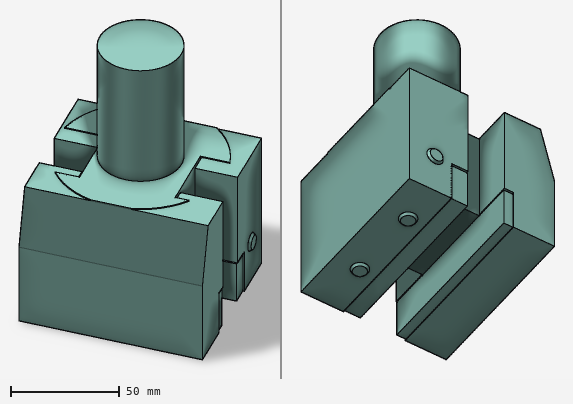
import cadquery as cq

overall_height = 136.3
overall_width = 92.5

head_width = 90.0
head_depth = 80.5
head_height = 71.3
head_center_x = 2.6
shank_to_back = 32.6
back_y = shank_to_back
front_y = back_y - head_depth
slope_inset = 7.8
slope_start_z = 42.1

shank_radius = 20.0
seat_radius = 41.5
seat_height = 0.5
seat_top_z = head_height + seat_height

neck_width = 46.9
slot_width = 20.2
slot_back_y = 0.0
slot_front_y = slot_back_y - slot_width

channel_height = 22.4
channel_back_y = 9.0
channel_front_y = -25.2
strip_bottom_z = 0.4
strip_top_gap = 0.7
strip_end_inset = 0.5
slit_width = 0.7

stud_radius = 4.5
stud_tip_radius = 3.5
stud_y = back_y - 14.3
side_stud_z = 22.0
side_stud_length = (overall_width - head_width) / 2
bottom_stud_length = 1.4
bottom_stud_spacing = 40.1

shank_top_z = overall_height - bottom_stud_length


def block(x_range, y_range, z_range):
    """Box spanning the given ranges."""
    x0, x1 = x_range
    y0, y1 = y_range
    z0, z1 = z_range
    return cq.Workplane("XY").box(x1 - x0, y1 - y0, z1 - z0, centered=False).translate((x0, y0, z0))


def stud(base, direction, length):
    """Tapered stud end standing on a face of the head."""
    cone = cq.Solid.makeCone(stud_radius, stud_tip_radius, length, cq.Vector(*base), cq.Vector(*direction))
    return cq.Workplane(obj=cone)


def side_ranges(near, far):
    """X ranges of a feature on the left and right of the head's middle plane."""
    return (
        (head_center_x - far, head_center_x - near),
        (head_center_x + near, head_center_x + far),
    )


half_width = head_width / 2
half_neck = neck_width / 2
head_x = (head_center_x - half_width, head_center_x + half_width)
channel_y = (channel_front_y, channel_back_y)
slot_y = (slot_front_y, slot_back_y)

result = (
    cq.Workplane("YZ", origin=(head_x[0], 0, 0))
    .moveTo(front_y, 0)
    .lineTo(back_y, 0)
    .lineTo(back_y, head_height)
    .lineTo(front_y + slope_inset, head_height)
    .lineTo(front_y, slope_start_z)
    .close()
    .extrude(head_width)
)

seat = cq.Workplane("XY", origin=(0, 0, head_height)).circle(seat_radius).extrude(seat_height)
seat = seat.intersect(block(head_x, (front_y + slope_inset, back_y), (head_height, seat_top_z)))
for notch_x in side_ranges(half_neck, half_width):
    seat = seat.cut(block(notch_x, channel_y, (head_height, seat_top_z)))
result = result.union(seat)

result = result.cut(block(head_x, channel_y, (0, channel_height)))

for slot_x in side_ranges(half_neck, half_width):
    result = result.cut(block(slot_x, slot_y, (0, head_height)))
for slit_x in side_ranges(half_neck, half_neck + slit_width):
    result = result.cut(block(slit_x, channel_y, (0, head_height)))

strip_x = (head_x[0] + strip_end_inset, head_x[1] - strip_end_inset)
strip_z = (strip_bottom_z, channel_height - strip_top_gap)
for strip_y in ((slot_back_y, channel_back_y), (channel_front_y, slot_front_y)):
    result = result.union(block(strip_x, strip_y, strip_z))

shank = cq.Workplane("XY", origin=(0, 0, head_height)).circle(shank_radius)
result = result.union(shank.extrude(shank_top_z - head_height))

for face_x, outward in zip(head_x, (-1, 1)):
    result = result.union(stud((face_x, stud_y, side_stud_z), (outward, 0, 0), side_stud_length))
    stud_x = outward * bottom_stud_spacing / 2
    result = result.union(stud((stud_x, stud_y, 0), (0, 0, -1), bottom_stud_length))